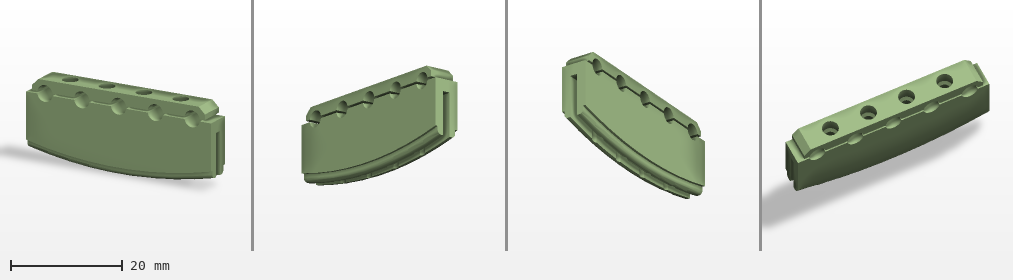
import cadquery as cq

length = 38.1
width = 5.0
height = 15.55
half_length = length / 2

plate_length = 35.6
plate_thickness = 2.3
plate_chamfer_x = 1.3
plate_chamfer_z = 1.25

plate_gap = 0.45
base_top = -(plate_thickness + plate_gap)
base_bottom = -height
bottom_radius = 81.9
slot_width = 1.5
slot_depth = 2.3
step_height = 1.5
step_depth = 0.5
edge_radius = 0.75

bore_count = 5
bore_pitch = 7.6
bore_diameter = 3.15
bore_axis_z = (base_top - plate_thickness) / 2

screw_clearance_diameter = 3.0
screw_hole_diameter = 2.05


def row_positions(count):
    """X positions of a centred row at the bore pitch."""
    return [(i - (count - 1) / 2) * bore_pitch for i in range(count)]


def cross_bores():
    return (
        cq.Workplane("XZ", origin=(0, 0, bore_axis_z))
        .pushPoints([(x, 0) for x in row_positions(bore_count)])
        .circle(bore_diameter / 2)
        .extrude(width, both=True)
    )


def screw_holes(diameter):
    return (
        cq.Workplane("XY", origin=(0, 0, base_bottom))
        .pushPoints([(x, 0) for x in row_positions(bore_count - 1)])
        .circle(diameter / 2)
        .extrude(height)
    )


def arc_bottom_slab(lift, thickness):
    """Slab below the base top whose bowed lower edge is raised by lift."""
    radius = bottom_radius - lift
    middle_z = base_bottom + lift
    end_z = middle_z + radius - (radius**2 - half_length**2) ** 0.5
    return (
        cq.Workplane("XZ")
        .moveTo(-half_length, base_top)
        .lineTo(half_length, base_top)
        .lineTo(half_length, end_z)
        .threePointArc((0, middle_z), (-half_length, end_z))
        .close()
        .extrude(thickness / 2, both=True)
    )


def make_base():
    leg_core = arc_bottom_slab(0, width - 2 * step_depth)
    bottom_edges = leg_core.faces("<Z").edges("%CIRCLE")
    leg_core = bottom_edges.fillet(edge_radius)
    base = leg_core.union(arc_bottom_slab(step_height, width))
    slot_roof = base_top - slot_depth
    slot = cq.Workplane("XY", origin=(0, 0, slot_roof)).rect(length, slot_width).extrude(-height)
    return base.cut(slot).cut(cross_bores()).cut(screw_holes(screw_hole_diameter))


def make_plate():
    half_plate = plate_length / 2
    plate = (
        cq.Workplane("XZ")
        .moveTo(-half_plate, -plate_thickness)
        .lineTo(half_plate, -plate_thickness)
        .lineTo(half_plate, -plate_chamfer_z)
        .lineTo(half_plate - plate_chamfer_x, 0)
        .lineTo(-half_plate + plate_chamfer_x, 0)
        .lineTo(-half_plate, -plate_chamfer_z)
        .close()
        .extrude(width / 2, both=True)
    )
    return plate.cut(cross_bores()).cut(screw_holes(screw_clearance_diameter))


base = make_base()
plate = make_plate()

result = cq.Compound.makeCompound([base.val(), plate.val()])